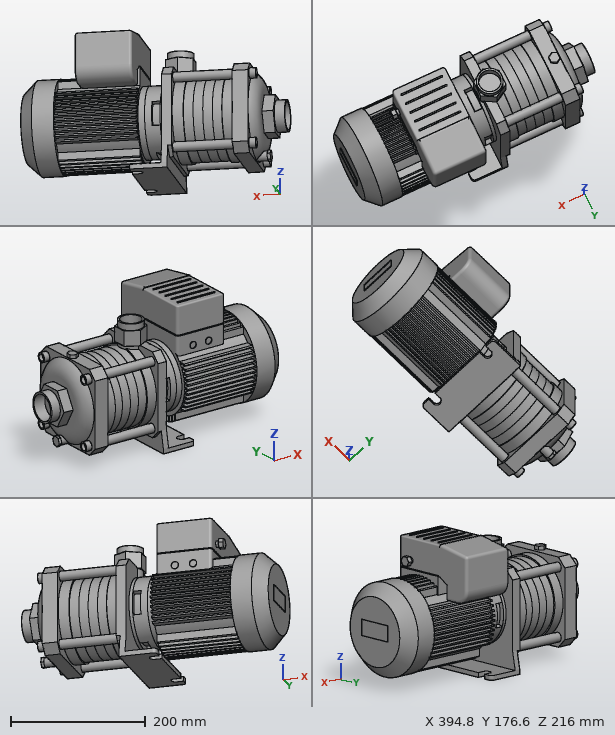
import cadquery as cq
import math


INLET_HEX_X = 15.5
DOME_X = 32.5
INLET_FLANGE_X = 46.5
INLET_COLLAR_X = 70.3
STAGE_X = 87.0
STAGE_LENGTH = 14.5
STAGE_COUNT = 4
STAGE_END_X = STAGE_X + STAGE_COUNT * STAGE_LENGTH
OUTLET_FLANGE_X = 162.0
OUTLET_FLANGE_END_X = 177.3
STOOL_X = 182.5
WINDOW_END_X = 195.0
MOTOR_X = 205.5
FINS_X = 215.5
FAN_COVER_X = 340.5
FAN_CONE_X = 373.5
FAN_COVER_END_X = 393.5
TOTAL_LENGTH = 394.8

STAGE_DIAMETER = 125.0
COLLAR_DIAMETER = 130.0
FLANGE_SIDE = 138.0
FLANGE_CORNER_CUT = 14.2
DOME_FACE_RADIUS = 42.0
DOME_BASE_RADIUS = 66.7

INLET_PIPE_DIAMETER = 48.5
INLET_BORE_DIAMETER = 42.2
INLET_BORE_DEPTH = 19.7
INLET_HEX_ACROSS_FLATS = 58.0
OUTLET_PIPE_DIAMETER = 40.0
OUTLET_BORE_DIAMETER = 33.5
OUTLET_HEX_ACROSS_FLATS = 42.0
OUTLET_HEX_Z = 68.3
OUTLET_HEX_TOP_Z = 93.0
OUTLET_TOP_Z = 103.5
OUTLET_BORE_DEPTH = 15.0

VENT_PLUG_X = 55.3
VENT_PLUG_HEIGHT = 6.0
PLUG_ACROSS_FLATS = 15.0
DRAIN_PLUG_X = 25.0
DRAIN_HEAD_LENGTH = 4.7
DRAIN_PLUG_Z = -60.0
DRAIN_NECK_DIAMETER = 15.0
DRAIN_HEX_TURN = 10.0

BOLT_OFFSET = 53.5
BOLT_SHANK_DIAMETER = 15.0
BOLT_HEAD_DIAMETER = 15.8
BOLT_HEAD_LENGTH = 10.0
BOLT_SOCKET_DIAMETER = 11.0
BOLT_SOCKET_DEPTH = 6.0
BOLT_THREAD_DEPTH = 8.0
BOLT_END_X = OUTLET_FLANGE_X + BOLT_THREAD_DEPTH

FOOT_X = 167.8
FOOT_END_X = 226.0
FOOT_BOTTOM_Z = -90.0
FOOT_THICKNESS = 7.5
FOOT_WIDTH = 149.2
FOOT_CORNER_RADIUS = 6.0
FOOT_SLOT_WIDTH = 13.5
FOOT_SLOT_Y = 53.0
FOOT_SLOT_X = 215.5

STOOL_DIAMETER = 110.0
WINDOW_FLOOR_RADIUS = 47.8
WINDOW_HALF_WIDTH = 18.5

BARREL_RADIUS = 62.0
FIN_TIP_RADIUS = 71.5
FIN_THICKNESS = 2.5
FINS_EACH_WAY = 5
OUTER_FIN_OFFSET = 37.0
FIN_PITCH = OUTER_FIN_OFFSET / FINS_EACH_WAY
FAN_COVER_DIAMETER = 145.0
FAN_COVER_END_DIAMETER = 107.5
END_PLATE_WIDTH = 56.0
END_PLATE_HEIGHT = 25.0
END_PLATE_Z = 2.5

BOX_X = 215.5
BOX_END_X = 302.5
BOX_LENGTH = BOX_END_X - BOX_X
BOX_MIDDLE_X = (BOX_X + BOX_END_X) / 2
BOX_FRONT_Y = -43.5
BOX_FOLD_Y = 43.5
BOX_BACK_Y = 102.0
BOX_TOP_Z = 124.8
BOX_RIDGE_Z = 126.0
BOX_RIDGE_WIDTH = 4.0
BOX_BACK_TOP_Z = 116.5
BOX_CORNER_RADIUS = 4.7
BOX_TOP_RADIUS = 2.5
BASE_BACK_Y = 39.5
SEAM_Z = 76.5
SEAM_HEIGHT = 1.0
SEAM_DEPTH = 1.0
OVERHANG_BOTTOM_Z = 42.2
OVERHANG_INNER_Y = 59.2
OVERHANG_KNEE_Z = 67.0
OVERHANG_CURVE_RADIUS = 21.7
RIB_MIDDLE_X = 259.0
RIB_PITCH = 15.5
RIB_LENGTH = 68.5
RIB_WIDTH = 2.5
RIB_HEIGHT = BOX_RIDGE_Z - BOX_TOP_Z
RIB_COUNT = 5
KNOCKOUT_DIAMETER = 11.0
KNOCKOUT_DEPTH = 1.0
KNOCKOUT_Z = 56.0
KNOCKOUT_SPACING = 28.5
BOX_SCREW_Y = -19.0
BOX_SCREW_Z = 91.0
BOX_SCREW_NECK_DIAMETER = 10.0
BOX_SCREW_NECK_LENGTH = 4.5
BOX_SCREW_HEX_ACROSS_FLATS = 14.0
BOX_SCREW_HEX_LENGTH = 7.5

QUARTER_TURNS = (0, 90, 180, 270)
BOLT_CENTRES = [(y, z) for y in (-BOLT_OFFSET, BOLT_OFFSET) for z in (-BOLT_OFFSET, BOLT_OFFSET)]


def across_x(x):
    """Work plane square to the shaft at x; its local axes are Y and Z."""
    return cq.Workplane("YZ", origin=(x, 0, 0))


def shaft_cylinder(x_start, x_end, diameter, centre=(0, 0)):
    return across_x(x_start).center(*centre).circle(diameter / 2).extrude(x_end - x_start)


def hex_diameter(across_flats):
    """Circle through the corners of a hexagon."""
    return across_flats / math.cos(math.pi / 6)


def shaft_hexagon(x_start, x_end, across_flats, centre=(0, 0), turn=0.0):
    outline = across_x(x_start).center(*centre).transformed(rotate=(0, 0, turn))
    return outline.polygon(6, hex_diameter(across_flats)).extrude(x_end - x_start)


def upright_hexagon(x, z_start, z_end, across_flats):
    """Hexagon about a vertical axis, with corners toward +Y and -Y."""
    outline = cq.Workplane("XY", origin=(x, 0, z_start)).transformed(rotate=(0, 0, 90))
    return outline.polygon(6, hex_diameter(across_flats)).extrude(z_end - z_start)


def flange(x_start, x_end):
    """Square plate with its four corners cut off."""
    plate = across_x(x_start).rect(FLANGE_SIDE, FLANGE_SIDE).extrude(x_end - x_start)
    return plate.edges("|X").chamfer(FLANGE_CORNER_CUT)


def bolt_holes(x_start, x_end):
    holes = across_x(x_start).pushPoints(BOLT_CENTRES)
    return holes.circle(BOLT_SHANK_DIAMETER / 2).extrude(x_end - x_start)


def make_dome():
    rise = INLET_FLANGE_X - DOME_X
    spread = DOME_BASE_RADIUS - DOME_FACE_RADIUS
    curve_radius = (rise**2 + spread**2) / (2 * rise)
    half_sweep = math.asin(spread / curve_radius) / 2
    curve_middle = (
        DOME_X + curve_radius * (1 - math.cos(half_sweep)),
        DOME_FACE_RADIUS + curve_radius * math.sin(half_sweep),
    )
    profile = (
        cq.Workplane("XY")
        .moveTo(DOME_X, 0)
        .lineTo(DOME_X, DOME_FACE_RADIUS)
        .threePointArc(curve_middle, (INLET_FLANGE_X, DOME_BASE_RADIUS))
        .lineTo(INLET_FLANGE_X, 0)
        .close()
    )
    return profile.revolve(360, (0, 0, 0), (1, 0, 0))


def make_drain_plug():
    centre = (0, DRAIN_PLUG_Z)
    head_end_x = DRAIN_PLUG_X + DRAIN_HEAD_LENGTH
    head = shaft_hexagon(DRAIN_PLUG_X, head_end_x, PLUG_ACROSS_FLATS, centre, DRAIN_HEX_TURN)
    return head.union(shaft_cylinder(head_end_x, INLET_FLANGE_X, DRAIN_NECK_DIAMETER, centre))


def make_inlet_body():
    flange_top = FLANGE_SIDE / 2
    vent_top = flange_top + VENT_PLUG_HEIGHT
    body = (
        shaft_cylinder(0, INLET_HEX_X, INLET_PIPE_DIAMETER)
        .union(shaft_hexagon(INLET_HEX_X, DOME_X, INLET_HEX_ACROSS_FLATS))
        .union(make_dome())
        .union(flange(INLET_FLANGE_X, INLET_COLLAR_X))
        .union(shaft_cylinder(INLET_COLLAR_X, STAGE_X, COLLAR_DIAMETER))
        .union(shaft_cylinder(STAGE_X, STAGE_X + STAGE_LENGTH, STAGE_DIAMETER))
        .union(upright_hexagon(VENT_PLUG_X, flange_top, vent_top, PLUG_ACROSS_FLATS))
        .union(make_drain_plug())
    )
    bore = shaft_cylinder(0, INLET_BORE_DEPTH, INLET_BORE_DIAMETER)
    return body.cut(bore).cut(bolt_holes(INLET_FLANGE_X, INLET_COLLAR_X))


def make_stage(index):
    start = STAGE_X + index * STAGE_LENGTH
    return shaft_cylinder(start, start + STAGE_LENGTH, STAGE_DIAMETER)


def make_foot():
    half_width = FOOT_WIDTH / 2
    half_flange = FLANGE_SIDE / 2
    upright_top = FLANGE_CORNER_CUT - half_flange
    sole_top = FOOT_BOTTOM_Z + FOOT_THICKNESS
    upright = (
        across_x(FOOT_X)
        .moveTo(-half_width, FOOT_BOTTOM_Z)
        .lineTo(half_width, FOOT_BOTTOM_Z)
        .lineTo(half_width, sole_top)
        .lineTo(half_flange, upright_top)
        .lineTo(-half_flange, upright_top)
        .lineTo(-half_width, sole_top)
        .close()
        .extrude(OUTLET_FLANGE_END_X - FOOT_X)
    )
    sole = (
        cq.Workplane("XY", origin=(0, 0, FOOT_BOTTOM_Z))
        .moveTo((FOOT_X + FOOT_END_X) / 2, 0)
        .rect(FOOT_END_X - FOOT_X, FOOT_WIDTH)
        .extrude(FOOT_THICKNESS)
        .edges("|Z and >X")
        .fillet(FOOT_CORNER_RADIUS)
    )
    slot_run = 2 * (FOOT_END_X - FOOT_SLOT_X)
    slots = (
        cq.Workplane("XY", origin=(FOOT_END_X, 0, FOOT_BOTTOM_Z))
        .pushPoints([(0, -FOOT_SLOT_Y), (0, FOOT_SLOT_Y)])
        .slot2D(slot_run + FOOT_SLOT_WIDTH, FOOT_SLOT_WIDTH)
        .extrude(FOOT_THICKNESS)
    )
    return upright.union(sole.cut(slots))


def make_outlet():
    pipe_plane = cq.Workplane("XY", origin=(OUTLET_FLANGE_X, 0, 0))
    pipe = pipe_plane.circle(OUTLET_PIPE_DIAMETER / 2).extrude(OUTLET_TOP_Z)
    nut = upright_hexagon(OUTLET_FLANGE_X, OUTLET_HEX_Z, OUTLET_HEX_TOP_Z, OUTLET_HEX_ACROSS_FLATS)
    bore_plane = pipe_plane.workplane(offset=OUTLET_TOP_Z)
    bore = bore_plane.circle(OUTLET_BORE_DIAMETER / 2).extrude(-OUTLET_BORE_DEPTH)
    return pipe.union(nut).cut(bore)


def make_discharge_body():
    body = (
        shaft_cylinder(STAGE_END_X - STAGE_LENGTH, STAGE_END_X, STAGE_DIAMETER)
        .union(shaft_cylinder(STAGE_END_X, OUTLET_FLANGE_X, COLLAR_DIAMETER))
        .union(flange(OUTLET_FLANGE_X, OUTLET_FLANGE_END_X))
        .union(make_foot())
        .union(shaft_cylinder(OUTLET_FLANGE_END_X, STOOL_X, STOOL_DIAMETER))
        .union(make_outlet())
    )
    return body.cut(bolt_holes(OUTLET_FLANGE_X, BOLT_END_X))


def make_tie_bolt(centre):
    head_x = INLET_FLANGE_X - BOLT_HEAD_LENGTH
    head = shaft_cylinder(head_x, INLET_FLANGE_X, BOLT_HEAD_DIAMETER, centre)
    shank = shaft_cylinder(INLET_FLANGE_X, BOLT_END_X, BOLT_SHANK_DIAMETER, centre)
    socket = shaft_cylinder(head_x, head_x + BOLT_SOCKET_DEPTH, BOLT_SOCKET_DIAMETER, centre)
    return head.union(shank).cut(socket)


def make_stool():
    """Ring with four windows whose side walls point at the shaft."""
    stool = shaft_cylinder(STOOL_X, MOTOR_X, STOOL_DIAMETER)
    half_angle = math.asin(2 * WINDOW_HALF_WIDTH / STOOL_DIAMETER)
    wedge_reach = STOOL_DIAMETER
    wedge_half_width = wedge_reach * math.tan(half_angle)
    wedge = (
        across_x(STOOL_X)
        .polyline([(0, 0), (wedge_reach, -wedge_half_width), (wedge_reach, wedge_half_width)])
        .close()
        .extrude(WINDOW_END_X - STOOL_X)
    )
    window = wedge.cut(shaft_cylinder(STOOL_X, WINDOW_END_X, 2 * WINDOW_FLOOR_RADIUS))
    for angle in QUARTER_TURNS:
        stool = stool.cut(window.rotate((0, 0, 0), (1, 0, 0), angle))
    return stool


def make_finned_barrel():
    """Barrel with level fins on its sides and upright fins above and below."""
    length = FAN_COVER_X - FINS_X
    offsets = [(0, step * FIN_PITCH) for step in range(-FINS_EACH_WAY, FINS_EACH_WAY + 1)]
    fins = across_x(FINS_X).pushPoints(offsets).rect(2 * FIN_TIP_RADIUS, FIN_THICKNESS).extrude(length)
    fins = fins.union(fins.rotate((0, 0, 0), (1, 0, 0), 90))
    fins = fins.intersect(shaft_cylinder(FINS_X, FAN_COVER_X, 2 * FIN_TIP_RADIUS))
    return shaft_cylinder(FINS_X, FAN_COVER_X, 2 * BARREL_RADIUS).union(fins)


def make_fan_cover():
    profile = cq.Workplane("XY").polyline([
        (FAN_COVER_X, 0),
        (FAN_COVER_X, FAN_COVER_DIAMETER / 2),
        (FAN_CONE_X, FAN_COVER_DIAMETER / 2),
        (FAN_COVER_END_X, FAN_COVER_END_DIAMETER / 2),
        (FAN_COVER_END_X, 0),
    ])
    cover = profile.close().revolve(360, (0, 0, 0), (1, 0, 0))
    plate = across_x(FAN_COVER_END_X).center(0, END_PLATE_Z).rect(END_PLATE_WIDTH, END_PLATE_HEIGHT)
    return cover.union(plate.extrude(TOTAL_LENGTH - FAN_COVER_END_X))


def box_block(y_start, y_end, z_start, z_end):
    """Block as long as the terminal box."""
    size = (BOX_LENGTH, y_end - y_start, z_end - z_start)
    return cq.Workplane("XY").box(*size, centered=False).translate((BOX_X, y_start, z_start))


def make_box_base():
    """Lower part of the box, standing on the barrel."""
    root_z = math.sqrt(BARREL_RADIUS**2 - BOX_FRONT_Y**2)
    base = box_block(BOX_FRONT_Y, BASE_BACK_Y, root_z, SEAM_Z)
    return base.edges("|Z and <Y").fillet(BOX_CORNER_RADIUS)


def make_lid_front():
    lid = box_block(BOX_FRONT_Y, BOX_FOLD_Y, SEAM_Z, BOX_TOP_Z)
    lid = lid.edges("|Z and <Y").fillet(BOX_CORNER_RADIUS)
    return lid.faces(">Z").edges("not >Y").fillet(BOX_TOP_RADIUS)


def make_lid_back():
    """Rear part of the lid, with a sloping top, that hangs down behind the barrel's top."""
    curve_y = BOX_BACK_Y - OVERHANG_CURVE_RADIUS
    curve_z = OVERHANG_BOTTOM_Z + OVERHANG_CURVE_RADIUS
    curve_reach = OVERHANG_CURVE_RADIUS * math.sqrt(0.5)
    lid = (
        across_x(BOX_X)
        .moveTo(BOX_FOLD_Y, BOX_RIDGE_Z)
        .lineTo(BOX_FOLD_Y + BOX_RIDGE_WIDTH, BOX_RIDGE_Z)
        .lineTo(BOX_BACK_Y, BOX_BACK_TOP_Z)
        .lineTo(BOX_BACK_Y, curve_z)
        .threePointArc((curve_y + curve_reach, curve_z - curve_reach), (curve_y, OVERHANG_BOTTOM_Z))
        .lineTo(OVERHANG_INNER_Y, OVERHANG_BOTTOM_Z)
        .lineTo(OVERHANG_INNER_Y, OVERHANG_KNEE_Z)
        .lineTo(BOX_FOLD_Y, SEAM_Z)
        .close()
        .extrude(BOX_LENGTH)
    )
    margin = 4.0
    outer_edges = cq.selectors.BoxSelector(
        (BOX_X - margin, OVERHANG_INNER_Y + margin, OVERHANG_BOTTOM_Z - margin),
        (BOX_END_X + margin, BOX_BACK_Y + margin, BOX_RIDGE_Z + margin),
    )
    return lid.edges(outer_edges).fillet(BOX_CORNER_RADIUS)


def make_seam():
    """Fine groove between box base and lid."""
    slab = box_block(BOX_FRONT_Y, BASE_BACK_Y, SEAM_Z, SEAM_Z + SEAM_HEIGHT)
    core = (
        cq.Workplane("XY", origin=(BOX_MIDDLE_X, 0, SEAM_Z))
        .moveTo(0, (BOX_FRONT_Y + BASE_BACK_Y + SEAM_DEPTH) / 2)
        .rect(BOX_LENGTH - 2 * SEAM_DEPTH, BASE_BACK_Y - BOX_FRONT_Y - SEAM_DEPTH)
        .extrude(SEAM_HEIGHT)
        .edges("|Z and <Y")
        .fillet(BOX_CORNER_RADIUS - SEAM_DEPTH)
    )
    return slab.cut(core)


def make_top_ribs():
    middle = (RIB_COUNT - 1) / 2
    centres = [(0, (row - middle) * RIB_PITCH) for row in range(RIB_COUNT)]
    ribs = cq.Workplane("XY", origin=(RIB_MIDDLE_X, 0, BOX_TOP_Z)).pushPoints(centres)
    return ribs.slot2D(RIB_LENGTH, RIB_WIDTH).extrude(RIB_HEIGHT)


def make_knockouts():
    """Two shallow round recesses in the front of the box."""
    front = cq.Workplane("XZ", origin=(BOX_MIDDLE_X, BOX_FRONT_Y, KNOCKOUT_Z))
    centres = [(-KNOCKOUT_SPACING / 2, 0), (KNOCKOUT_SPACING / 2, 0)]
    return front.pushPoints(centres).circle(KNOCKOUT_DIAMETER / 2).extrude(-KNOCKOUT_DEPTH)


def make_box_screw():
    centre = (BOX_SCREW_Y, BOX_SCREW_Z)
    head_x = BOX_END_X + BOX_SCREW_NECK_LENGTH
    head_end_x = head_x + BOX_SCREW_HEX_LENGTH
    neck = shaft_cylinder(BOX_END_X, head_x, BOX_SCREW_NECK_DIAMETER, centre)
    return neck.union(shaft_hexagon(head_x, head_end_x, BOX_SCREW_HEX_ACROSS_FLATS, centre))


def make_terminal_box():
    box = make_box_base().union(make_lid_front()).union(make_lid_back())
    box = box.union(make_top_ribs()).union(make_box_screw())
    return box.cut(make_seam()).cut(make_knockouts())


def make_motor():
    neck = shaft_cylinder(MOTOR_X, FINS_X, STOOL_DIAMETER)
    return neck.union(make_finned_barrel()).union(make_fan_cover()).union(make_terminal_box())


inlet_body = make_inlet_body()
stages = [make_stage(index).val() for index in range(1, STAGE_COUNT - 1)]
discharge_body = make_discharge_body()
tie_bolts = [make_tie_bolt(centre).val() for centre in BOLT_CENTRES]
stool = make_stool()
motor = make_motor()

result = cq.Compound.makeCompound([
    inlet_body.val(),
    *stages,
    discharge_body.val(),
    *tie_bolts,
    stool.val(),
    motor.val(),
])